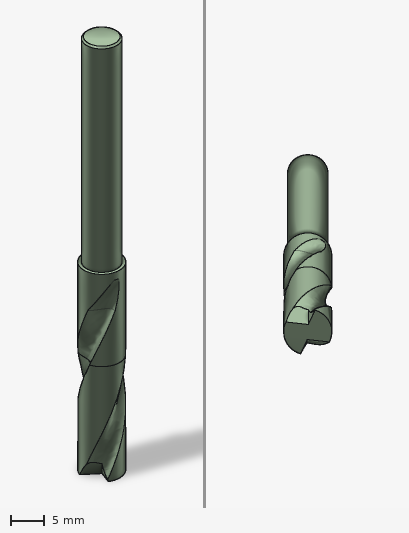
import cadquery as cq
import math

total_length = 75.0
cutting_length = 20.0
body_length = 36.0
body_diameter = 7.1
shank_diameter = 6.0
shank_chamfer = 0.3

flute_count = 2
flute_lead = 52.3
flute_length = 29.4
flute_runout_length = 5.25
flute_runout_twist = 28.0
flute_start_angle = -90.5
flute_half_angle = 34.5
flute_floor_radius = 2.62
flute_heel_radius = 2.57
flute_heel_angle = 15.0
runout_sections = 4

gash_edge_angle = -45.0
gash_edge_offset = 0.41
gash_corner_distance = 1.1
gash_lip_distance = 0.1
gash_drift_along = 0.485
gash_drift_ahead = 0.215
gash_height = 5.0

cutter_overrun = 0.5
clear_radius = 1.5 * body_diameter / 2

body_radius = body_diameter / 2
shank_radius = shank_diameter / 2
flute_twist = 360.0 * flute_length / flute_lead


def polar(radius, degrees):
    angle = math.radians(degrees)
    return (radius * math.cos(angle), radius * math.sin(angle))


def flute_section(workplane, center_angle, lift=0.0):
    """Add the closed outline of one flute, open to beyond the body and lifted out by `lift`."""
    trailing = center_angle - flute_half_angle
    leading = center_angle + flute_half_angle
    rim_radius = body_radius + lift
    floor_points = [
        polar(rim_radius, trailing),
        polar(flute_floor_radius + lift, center_angle),
        polar(flute_heel_radius + lift, center_angle + flute_heel_angle),
        polar(rim_radius, leading),
    ]
    return (
        workplane.spline(floor_points)
        .lineTo(*polar(clear_radius, leading))
        .threePointArc(polar(clear_radius, center_angle), polar(clear_radius, trailing))
        .close()
    )


def flute_cutter(start_angle):
    """The helical run of one flute, starting a little below the tip."""
    overrun_twist = 360.0 * cutter_overrun / flute_lead
    base = cq.Workplane("XY", origin=(0, 0, -cutter_overrun))
    return flute_section(base, start_angle - overrun_twist).twistExtrude(
        flute_length + cutter_overrun, flute_twist + overrun_twist
    )


def runout_cutter(start_angle):
    """The end of one flute, which follows the helix while its floor rises out of the body."""
    lift_total = body_radius - flute_heel_radius
    step = flute_runout_length / (runout_sections - 1)
    runout = cq.Workplane("XY", origin=(0, 0, flute_length))
    for index in range(runout_sections):
        fraction = index / (runout_sections - 1)
        angle = start_angle + flute_twist + flute_runout_twist * fraction
        if index:
            runout = runout.workplane(offset=step)
        runout = flute_section(runout, angle, lift_total * fraction)
    return runout.loft(combine=True)


def gash_cutter(turn):
    """A slanted V prism, laid out with X along the cutting edge and Y ahead of the edge."""
    lip_ahead = math.sqrt(body_radius**2 - gash_lip_distance**2)
    corner = (gash_corner_distance, gash_edge_offset)
    slope = (gash_lip_distance - corner[0]) / (lip_ahead - corner[1])
    far_lip = (corner[0] + slope * (clear_radius - corner[1]), clear_radius)
    outline = (
        cq.Workplane("XY")
        .polyline([corner, (clear_radius, corner[1]), (clear_radius, clear_radius), far_lip])
        .close()
        .wire()
        .val()
    )
    direction = cq.Vector(gash_drift_along, gash_drift_ahead, 1) * gash_height
    prism = cq.Workplane(cq.Solid.extrudeLinear(outline, [], direction))
    return prism.mirror("XZ").rotate((0, 0, 0), (0, 0, 1), gash_edge_angle + turn)


cutting_part = cq.Workplane("XY").circle(body_radius).extrude(cutting_length)
shank_part = (
    cq.Workplane("XY", origin=(0, 0, cutting_length))
    .circle(body_radius)
    .extrude(body_length - cutting_length)
    .faces(">Z")
    .workplane()
    .circle(shank_radius)
    .extrude(total_length - body_length)
    .faces(">Z")
    .chamfer(shank_chamfer)
)

for index in range(flute_count):
    turn = 360.0 * index / flute_count
    flute = flute_cutter(flute_start_angle + turn)
    cutting_part = cutting_part.cut(flute).cut(gash_cutter(turn))
    shank_part = shank_part.cut(flute).cut(runout_cutter(flute_start_angle + turn))

result = cq.Compound.makeCompound([cutting_part.val(), shank_part.val()])